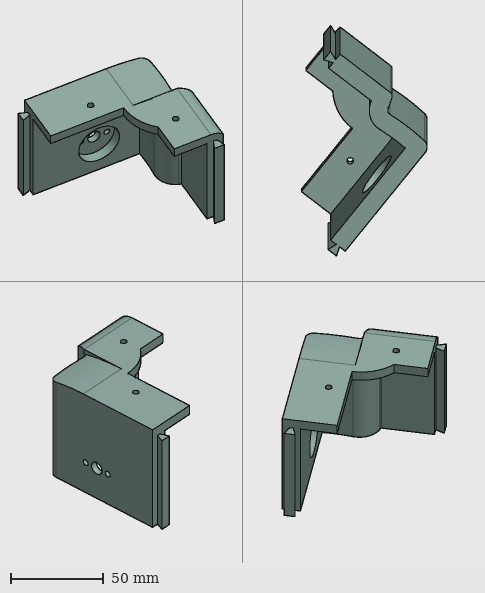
import cadquery as cq
import math

wall = 10.0
key_length = 5.0
end_x = 75.0 - key_length
end_y = key_length
back_y = 89.5
height = 65.0
plate_thickness = 5.9
plate_bottom = height - plate_thickness

bulge_radius = 119.9
bulge_peak_x = 16.4
bulge_peak_y = 80.3
throat_radius = 2.5
throat_x = 28.4
slant_angle = math.radians(70)
left_corner_radius = 5.0
rear_corner_radius = 2.5

left_arm_width = 30.15
right_arm_y = 59.4
web_start_y = 49.65
web_radius = 28.3

step_x = 30.95
slope_start_y = 55.0
slope_radius = 120.8
rear_round_y = 81.9
rear_round_radius = 10.2

key_root_width = 2.2
key_tip_width = 6.0

small_hole = 3.5
large_hole = 7.5
plate_holes = [(20.0, 34.8), (50.55, 70.7)]
side_hole_y = 45.4
side_hole_z = 20.0
side_hole_spacing = 8.0
recess_diameter = 25.0
recess_floor = 4.0

bulge_y = bulge_peak_y - bulge_radius
throat_y = bulge_y + math.sqrt((bulge_radius + throat_radius) ** 2 - (throat_x - bulge_peak_x) ** 2)


def footprint(inset):
    """Region enclosed by the outer wall face, moved inward by inset."""
    left_x = inset
    rear_y = back_y - inset
    outer_radius = bulge_radius - inset
    inner_radius = throat_radius + inset

    def bulge_point(x):
        return x, bulge_y + math.sqrt(outer_radius**2 - (x - bulge_peak_x) ** 2)

    def throat_point(angle):
        """Point on the throat; the angle is measured from straight down."""
        return throat_x + inner_radius * math.sin(angle), throat_y - inner_radius * math.cos(angle)

    start_angle = -math.asin((throat_x - bulge_peak_x) / (bulge_radius + throat_radius))
    throat_start = throat_point(start_angle)
    throat_end = throat_point(slant_angle)
    slant_top_x = throat_end[0] + (rear_y - throat_end[1]) / math.tan(slant_angle)
    return (
        cq.Workplane("XY")
        .moveTo(left_x, end_y)
        .lineTo(*bulge_point(left_x))
        .threePointArc(bulge_point((left_x + throat_start[0]) / 2), throat_start)
        .threePointArc(throat_point((start_angle + slant_angle) / 2), throat_end)
        .lineTo(slant_top_x, rear_y)
        .lineTo(end_x, rear_y)
        .lineTo(end_x, end_y)
        .close()
    )


def rounded_block():
    block = footprint(0).extrude(height)
    block = block.edges("|Z").edges(cq.selectors.NearestToPointSelector((0, bulge_peak_y, height / 2)))
    block = block.fillet(left_corner_radius)
    block = block.edges("|Z").edges(cq.selectors.NearestToPointSelector((step_x, back_y, height / 2)))
    return block.fillet(rear_corner_radius)


def plate_opening():
    """Region between the two arms, bounded by the curved web at the inner corner."""
    web_center_y = web_start_y + web_radius
    web_end_angle = math.acos((web_center_y - right_arm_y) / web_radius)

    def web_point(angle):
        return left_arm_width + web_radius * math.sin(angle), web_center_y - web_radius * math.cos(angle)

    return (
        cq.Workplane("XY")
        .moveTo(left_arm_width, end_y)
        .lineTo(left_arm_width, web_start_y)
        .threePointArc(web_point(web_end_angle / 2), web_point(web_end_angle))
        .lineTo(end_x, right_arm_y)
        .lineTo(end_x, end_y)
        .close()
        .extrude(height)
    )


def top_rounding(x_min, x_max, start_y, radius):
    """Material above an arc that leaves the top face tangentially at start_y."""

    def arc_point(y):
        return y, height - radius + math.sqrt(radius**2 - (y - start_y) ** 2)

    return (
        cq.Workplane("YZ", origin=(x_min, 0, 0))
        .moveTo(start_y, height)
        .threePointArc(arc_point((start_y + back_y) / 2), arc_point(back_y))
        .lineTo(back_y, height)
        .close()
        .extrude(x_max - x_min)
    )


def dovetail_key():
    """Key pointing along +X from the origin, widening toward its tip."""
    return (
        cq.Workplane("XY")
        .polyline(
            [
                (0, -key_root_width / 2),
                (key_length, -key_tip_width / 2),
                (key_length, key_tip_width / 2),
                (0, key_root_width / 2),
            ]
        )
        .close()
        .extrude(plate_bottom)
    )


def side_hole(y, diameter, start_x=0):
    """Round cutter along X from start_x to the inside of the left wall."""
    return (
        cq.Workplane("YZ", origin=(start_x, y, side_hole_z))
        .circle(diameter / 2)
        .extrude(wall - start_x)
    )


body = rounded_block()
body = body.cut(footprint(wall).extrude(plate_bottom))
body = body.cut(plate_opening())

body = body.cut(top_rounding(0, step_x, slope_start_y, slope_radius))
body = body.cut(top_rounding(step_x, end_x, rear_round_y, rear_round_radius))

body = body.cut(cq.Workplane("XY").pushPoints(plate_holes).circle(small_hole / 2).extrude(height))

body = body.cut(side_hole(side_hole_y, large_hole))
for side in (-1, 1):
    body = body.cut(side_hole(side_hole_y + side * side_hole_spacing, small_hole))

body = body.cut(side_hole(side_hole_y, recess_diameter, recess_floor))

body = body.union(dovetail_key().translate((end_x, back_y - wall / 2, 0)))
body = body.union(dovetail_key().rotate((0, 0, 0), (0, 0, 1), -90).translate((wall / 2, end_y, 0)))

result = body